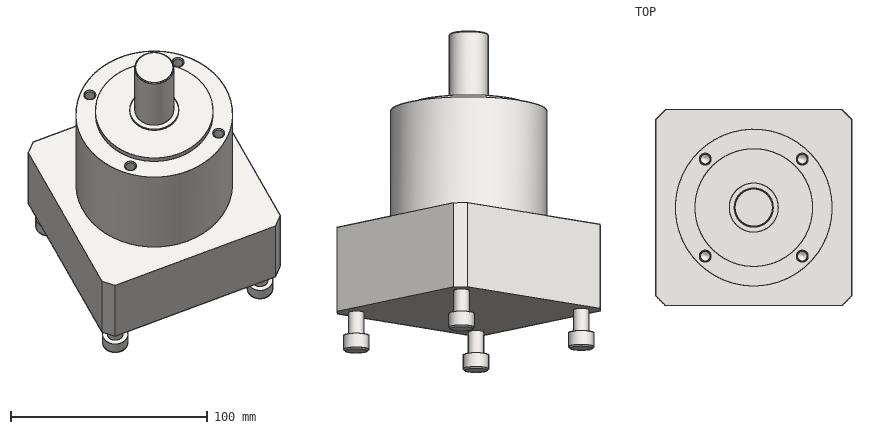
import cadquery as cq
import math

screw_gap = 20.0
body_height = 60.0
pilot_height = 3.0
collar_height = 1.0
shaft_length = 36.0
total_height = 163.5
flange_height = (total_height - screw_gap - body_height - pilot_height
                 - collar_height - shaft_length)

flange_side = 100.0
corner_chamfer = 5.0

body_diameter = 80.0
pilot_diameter = 60.0
collar_diameter = 25.0
shaft_diameter = 20.0
shaft_chamfer = 0.5

hole_circle_diameter = 70.0
hole_diameter = 4.9
hole_mouth_diameter = 6.0
hole_depth = 10.0
drill_tip_angle = 118.0

screw_circle_diameter = 115.0
screw_diameter = 8.0
head_diameter = 13.0
head_height = screw_diameter
head_chamfer = 0.8
neck_height = 1.0
neck_flare = 0.05

FIRST_CORNER_ANGLE = 45
CORNER_COUNT = 4

flange_bottom = screw_gap
flange_top = flange_bottom + flange_height
body_top = flange_top + body_height
pilot_top = body_top + pilot_height
collar_top = pilot_top + collar_height


def corner_points(circle_diameter):
    """Four points on the diagonals of the flange, on a circle around the axis."""
    points = []
    for index in range(CORNER_COUNT):
        angle = math.radians(FIRST_CORNER_ANGLE + index * 360 / CORNER_COUNT)
        radius = circle_diameter / 2
        points.append((radius * math.cos(angle), radius * math.sin(angle)))
    return points


def disc(diameter, bottom, height):
    """Cylinder on the gearbox axis."""
    return cq.Workplane("XY").workplane(offset=bottom).circle(diameter / 2).extrude(height)


def make_tapped_hole():
    """Blind hole volume with a 45 degree mouth chamfer and a drill-point bottom, mouth at Z = 0."""
    hole_radius = hole_diameter / 2
    mouth_radius = hole_mouth_diameter / 2
    mouth_depth = mouth_radius - hole_radius
    tip_depth = hole_depth + hole_radius / math.tan(math.radians(drill_tip_angle / 2))
    return (
        cq.Workplane("XZ")
        .moveTo(0, 0)
        .lineTo(mouth_radius, 0)
        .lineTo(hole_radius, -mouth_depth)
        .lineTo(hole_radius, -hole_depth)
        .lineTo(0, -tip_depth)
        .close()
        .revolve(360, (0, 0, 0), (0, 1, 0))
    )


def make_gearbox():
    """Flange, round body, pilot, collar and output shaft as one solid."""
    flange = (
        cq.Workplane("XY")
        .workplane(offset=flange_bottom)
        .rect(flange_side, flange_side)
        .extrude(flange_height)
        .edges("|Z")
        .chamfer(corner_chamfer)
    )
    body = disc(body_diameter, flange_top, body_height)
    pilot = disc(pilot_diameter, body_top, pilot_height)
    collar = disc(collar_diameter, pilot_top, collar_height)
    shaft = disc(shaft_diameter, collar_top, shaft_length).faces(">Z").chamfer(shaft_chamfer)
    gearbox = flange.union(body).union(pilot).union(collar).union(shaft)

    tapped_hole = make_tapped_hole()
    for x, y in corner_points(hole_circle_diameter):
        gearbox = gearbox.cut(tapped_hole.translate((x, y, body_top)))
    return gearbox


def make_screw(x, y):
    """Cap screw, head down, whose shank meets the underside of the flange."""
    head_radius = head_diameter / 2
    screw_radius = screw_diameter / 2
    neck_radius = screw_radius + neck_flare
    return (
        cq.Workplane("XZ")
        .moveTo(0, 0)
        .lineTo(head_radius - head_chamfer, 0)
        .lineTo(head_radius, head_chamfer)
        .lineTo(head_radius, head_height)
        .lineTo(neck_radius, head_height)
        .lineTo(screw_radius, head_height + neck_height)
        .lineTo(screw_radius, flange_bottom)
        .lineTo(0, flange_bottom)
        .close()
        .revolve(360, (0, 0, 0), (0, 1, 0))
        .translate((x, y, 0))
    )


gearbox = make_gearbox()
screws = [make_screw(x, y) for x, y in corner_points(screw_circle_diameter)]

result = cq.Compound.makeCompound([gearbox.val(), *[screw.val() for screw in screws]])